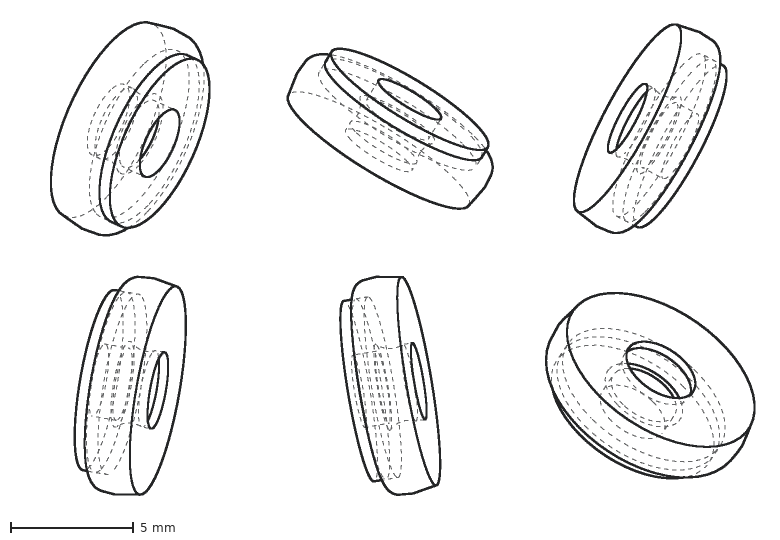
import cadquery as cq
import math

outer_diameter = 9.0
front_diameter = 8.66
front_hole_diameter = 3.18
bore_diameter = 3.0
washer_diameter = 7.5
washer_start = 1.5
washer_end = 2.5
cushion_length = 2.0
widest_x = 1.0
shoulder_x = 1.55
shoulder_diameter = 8.91
rim_radius = 0.5
bead_x = 0.8
bead_center_diameter = 5.0

rim_center_x = cushion_length - rim_radius
rim_center_r = shoulder_diameter / 2 - math.sqrt(rim_radius**2 - (shoulder_x - rim_center_x) ** 2)
rim_middle_offset = rim_radius * math.sqrt(0.5)

bead_center_r = bead_center_diameter / 2
bead_radius = bead_center_r - bore_diameter / 2
bead_start_x = bead_x - math.sqrt(bead_radius**2 - (bead_center_r - front_hole_diameter / 2) ** 2)
bead_end_r = bead_center_r - math.sqrt(bead_radius**2 - (washer_start - bead_x) ** 2)


def revolve_about_x(profile):
    """Turn a closed (x, radius) profile once around the X axis."""
    return profile.close().revolve(360, (0, 0, 0), (1, 0, 0))


def make_cushion():
    """Ring with a rounded rim, a beaded hole and a rear washer recess."""
    profile = (
        cq.Workplane("XY")
        .moveTo(0, front_hole_diameter / 2)
        .lineTo(0, front_diameter / 2)
        .lineTo(widest_x, outer_diameter / 2)
        .lineTo(shoulder_x, shoulder_diameter / 2)
        .threePointArc(
            (rim_center_x + rim_middle_offset, rim_center_r + rim_middle_offset),
            (cushion_length, rim_center_r),
        )
        .lineTo(cushion_length, washer_diameter / 2)
        .lineTo(washer_start, washer_diameter / 2)
        .lineTo(washer_start, bead_end_r)
        .threePointArc((bead_x, bore_diameter / 2), (bead_start_x, front_hole_diameter / 2))
    )
    return revolve_about_x(profile)


def make_washer():
    """Flat washer seated in the rear recess and standing out behind the cushion."""
    profile = (
        cq.Workplane("XY")
        .moveTo(washer_start, bore_diameter / 2)
        .lineTo(washer_start, washer_diameter / 2)
        .lineTo(washer_end, washer_diameter / 2)
        .lineTo(washer_end, bore_diameter / 2)
    )
    return revolve_about_x(profile)


cushion = make_cushion()
washer = make_washer()
result = cq.Compound.makeCompound([cushion.val(), washer.val()])